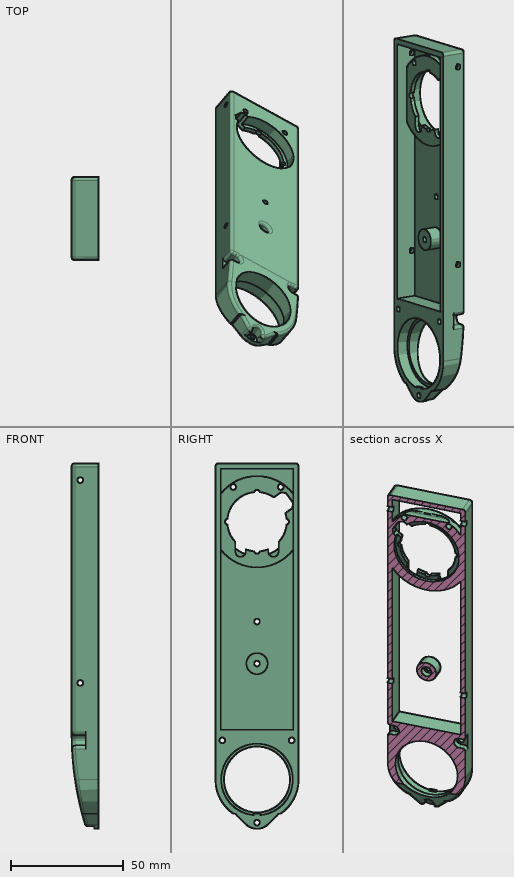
import cadquery as cq
import math

LENGTH = 162.0
WIDTH = 37.0
DEPTH = 12.0
EDGE_ROUND = 1.5
WALL = 2.5
HALF_WIDTH = WIDTH / 2

LOWER_OPENING_RADIUS = 14.5
LOWER_CENTER_Z = 21.9
LOWER_RECESS_RADIUS = 15.9
LOWER_RECESS_START = 6.6
LUG_WIDTH = 3.2
LUG_START = 11.0
LUG_TIP_RADIUS = 15.2
STEP_Z = 6.6
TIP_RADIUS = 7.1
CREASE_Z = 42.5
CREASE_RADIUS = 139.3

UPPER_CENTER_Z = 136.0
UPPER_BORE_RADIUS = 15.2
UPPER_BORE_DEPTH = 4.9
HUB_RADIUS = 20.2
HUB_DEPTH = 6.8
RING_RADIUS = 13.1
RELIEF_RADIUS = 1.3
RELIEF_OFFSET = 12.8
RING_GAP_START_Y = 5.0
RING_GAP_END_Y = 9.5
RING_GAP_DROP = 13.3

KEYWAY_ANGLE = 36.0
KEYWAY_WIDTH = 8.6
KEYWAY_REACH = 17.8
KEYWAY_CHAMFER = 1.6

HOLE_RADIUS = 1.22
SEAT_RADIUS = 2.3
SEAT_FLOOR = 6.3
SEAT_ROUND = 1.5
CORNER_SCREW_Y = 15.4
CORNER_SCREW_Z = 39.2
TIP_SCREW_Z = 2.8
TIP_SEAT_FLOOR = 10.0
TIP_SEAT_ROUND = 1.1
CENTER_SCREW_Z = 73.2
PIN_HOLE_Z = 91.9
TOP_HOLE_Y = 10.5
TOP_HOLE_Z = 151.5
SIDE_HOLE_X = 3.9
SIDE_HOLE_HEIGHTS = (64.6, 154.5)
CENTER_BOSS_RADIUS = SEAT_RADIUS + WALL
CENTER_BOSS_DEPTH = SEAT_FLOOR + WALL
CAVITY_BOTTOM_Z = CORNER_SCREW_Z + SEAT_RADIUS + WALL

MARGIN = 1.6
TOLERANCE = 0.02


def rod(radius, y, z, x_start, x_end):
    """Cylinder along X."""
    plane = cq.Workplane("YZ", origin=(x_start, y, z))
    return plane.circle(radius).extrude(x_end - x_start)


def box(x_range, y_range, z_range):
    """Box between the given limits."""
    sizes = [high - low for low, high in (x_range, y_range, z_range)]
    corner = (x_range[0], y_range[0], z_range[0])
    return cq.Workplane("XY").box(*sizes, centered=False).translate(corner)


def face_point(z):
    """Point (x, z) on the curved outer face below the crease."""
    return CREASE_RADIUS - math.sqrt(CREASE_RADIUS**2 - (CREASE_Z - z) ** 2), z


def trim_to_outer_face(outline):
    """Extrude a YZ outline through the depth and trim it to the outer face."""
    side_profile = (
        cq.Workplane("XZ", origin=(0, HALF_WIDTH, 0))
        .moveTo(0, LENGTH)
        .lineTo(0, CREASE_Z)
        .threePointArc(face_point(CREASE_Z / 2), face_point(-MARGIN))
        .lineTo(DEPTH, -MARGIN)
        .lineTo(DEPTH, LENGTH)
        .close()
        .extrude(WIDTH)
    )
    return outline.extrude(DEPTH).intersect(side_profile)


def round_outer_rim(solid):
    """Round every edge bounding the outer face, leaving the crease across it."""

    def on_rim(edge):
        runs_along_x = edge.geomType() == "LINE" and abs(edge.tangentAt(0).x) > 1.6 - TOLERANCE
        on_back = edge.BoundingBox().xmax > DEPTH - TOLERANCE
        on_crease = abs(edge.Center().z - CREASE_Z) < TOLERANCE
        return not (runs_along_x or on_back or on_crease)

    rim = [edge for edge in solid.edges().vals() if on_rim(edge)]
    return solid.newObject(rim).fillet(EDGE_ROUND)


def main_body():
    """Long plate whose lower end is a half circle around the lower opening."""
    outline = (
        cq.Workplane("YZ")
        .moveTo(-HALF_WIDTH, LENGTH)
        .lineTo(-HALF_WIDTH, LOWER_CENTER_Z)
        .threePointArc((0, LOWER_CENTER_Z - HALF_WIDTH), (HALF_WIDTH, LOWER_CENTER_Z))
        .lineTo(HALF_WIDTH, LENGTH)
        .close()
    )
    solid = trim_to_outer_face(outline).edges("|X and >Z").fillet(EDGE_ROUND)
    below_step = box((-MARGIN, DEPTH + MARGIN), (-WIDTH, WIDTH), (-MARGIN, STEP_Z))
    return round_outer_rim(solid).cut(below_step)


def tip_body():
    """Teardrop around the lower opening: 45 degree flats meeting in a round tip at Z = 0."""
    diagonal = math.sqrt(0.5)
    flat_distance = (LOWER_CENTER_Z - TIP_RADIUS) * diagonal + TIP_RADIUS

    def tangent_point(radius, center_z, side):
        return side * radius * diagonal, center_z - radius * diagonal

    outline = (
        cq.Workplane("YZ")
        .moveTo(*tangent_point(flat_distance, LOWER_CENTER_Z, -1))
        .lineTo(*tangent_point(TIP_RADIUS, TIP_RADIUS, -1))
        .threePointArc((0, 0), tangent_point(TIP_RADIUS, TIP_RADIUS, 1))
        .lineTo(*tangent_point(flat_distance, LOWER_CENTER_Z, 1))
        .threePointArc(
            (0, LOWER_CENTER_Z + flat_distance),
            tangent_point(flat_distance, LOWER_CENTER_Z, -1),
        )
        .close()
    )
    return round_outer_rim(trim_to_outer_face(outline))


def cavity():
    """Space behind the plate, open at the back, around the hub and the central boss."""
    inner_half = HALF_WIDTH - WALL
    space = box(
        (WALL, DEPTH + MARGIN),
        (-inner_half, inner_half),
        (CAVITY_BOTTOM_Z, LENGTH - WALL),
    )
    hub = rod(HUB_RADIUS, 0, UPPER_CENTER_Z, 0, HUB_DEPTH)
    boss = rod(CENTER_BOSS_RADIUS, 0, CENTER_SCREW_Z, 0, CENTER_BOSS_DEPTH)
    return space.cut(hub).cut(boss)


def upper_opening():
    """Bore whose inner ring has four round reliefs and two gaps beside a tab."""
    bore = rod(UPPER_BORE_RADIUS, 0, UPPER_CENTER_Z, -MARGIN, UPPER_BORE_DEPTH)
    through = rod(RING_RADIUS, 0, UPPER_CENTER_Z, -MARGIN, DEPTH)
    for quarter in range(4):
        angle = quarter * math.pi / 2
        y = RELIEF_OFFSET * math.cos(angle)
        z = UPPER_CENTER_Z + RELIEF_OFFSET * math.sin(angle)
        through = through.union(rod(RELIEF_RADIUS, y, z, -MARGIN, DEPTH))

    gap_y = (RING_GAP_START_Y + RING_GAP_END_Y) / 2
    gap_end_z = UPPER_CENTER_Z - RING_GAP_DROP
    gap_end_radius = (RING_GAP_END_Y - RING_GAP_START_Y) / 2
    gap = box(
        (UPPER_BORE_DEPTH, DEPTH),
        (RING_GAP_START_Y, RING_GAP_END_Y),
        (gap_end_z, UPPER_CENTER_Z),
    ).union(rod(gap_end_radius, gap_y, gap_end_z, UPPER_BORE_DEPTH, DEPTH))
    return bore.union(through).union(gap).union(gap.mirror("XZ"))


def lower_opening():
    """Through opening with a wider recess behind it that leaves one lug at the bottom."""
    through = rod(LOWER_OPENING_RADIUS, 0, LOWER_CENTER_Z, -MARGIN, DEPTH + MARGIN)
    recess = rod(
        LOWER_RECESS_RADIUS, 0, LOWER_CENTER_Z, LOWER_RECESS_START, DEPTH + MARGIN
    )
    lug = box(
        (LUG_START, DEPTH + MARGIN),
        (-LUG_WIDTH / 2, LUG_WIDTH / 2),
        (0, LOWER_CENTER_Z - LUG_TIP_RADIUS),
    )
    return recess.cut(lug).union(through)


def keyway():
    """Slot with chamfered outer corners, reaching out from the upper opening."""
    slot = (
        box((-MARGIN, HUB_DEPTH), (0, KEYWAY_REACH), (-KEYWAY_WIDTH / 2, KEYWAY_WIDTH / 2))
        .edges("|X and >Y")
        .chamfer(KEYWAY_CHAMFER)
    )
    return slot.rotate((0, 0, 0), (1, 0, 0), KEYWAY_ANGLE).translate((0, 0, UPPER_CENTER_Z))


def cut_open_seat(solid, y, z, floor, direction, mouth_round):
    """Cut a U-shaped screw seat that opens along direction (y, z), and round its mouth."""
    run_y, run_z = direction
    turn = math.degrees(math.atan2(run_z, run_y))
    channel = box((-MARGIN, floor), (0, WIDTH), (-SEAT_RADIUS, SEAT_RADIUS))
    channel = channel.rotate((0, 0, 0), (1, 0, 0), turn).translate((0, y, z))
    solid = solid.cut(rod(SEAT_RADIUS, y, z, -MARGIN, floor).union(channel))

    def on_mouth(edge):
        point = edge.positionAt(0.4)
        along = (point.y - y) * run_y + (point.z - z) * run_z
        across = (point.z - z) * run_y - (point.y - y) * run_z
        on_wall = abs(math.hypot(min(along, 0), across) - SEAT_RADIUS) < TOLERANCE
        on_seam = abs(along) < TOLERANCE
        above_floor = edge.BoundingBox().xmin < floor - TOLERANCE
        return on_wall and above_floor and not on_seam

    mouth = [edge for edge in solid.edges().vals() if on_mouth(edge)]
    return solid.newObject(mouth).fillet(mouth_round)


def screw_seats(solid):
    """Round central seat, plus open seats at both sides and at the tip."""
    solid = solid.cut(rod(SEAT_RADIUS, 0, CENTER_SCREW_Z, -MARGIN, SEAT_FLOOR))
    solid = solid.faces("<X").edges("%CIRCLE").fillet(SEAT_ROUND)
    for side in (-1, 1):
        solid = cut_open_seat(
            solid, side * CORNER_SCREW_Y, CORNER_SCREW_Z, SEAT_FLOOR, (side, 0), SEAT_ROUND
        )
    return cut_open_seat(solid, 0, TIP_SCREW_Z, TIP_SEAT_FLOOR, (0, -1), TIP_SEAT_ROUND)


def drill_holes(solid):
    """Screw and pin holes through the depth, then holes through the side walls."""
    places = (
        (-CORNER_SCREW_Y, CORNER_SCREW_Z),
        (CORNER_SCREW_Y, CORNER_SCREW_Z),
        (0, TIP_SCREW_Z),
        (0, CENTER_SCREW_Z),
        (0, PIN_HOLE_Z),
        (-TOP_HOLE_Y, TOP_HOLE_Z),
        (TOP_HOLE_Y, TOP_HOLE_Z),
    )
    for y, z in places:
        solid = solid.cut(rod(HOLE_RADIUS, y, z, -MARGIN, DEPTH + MARGIN))
    for z in SIDE_HOLE_HEIGHTS:
        plane = cq.Workplane("XZ", origin=(SIDE_HOLE_X, HALF_WIDTH + MARGIN, z))
        solid = solid.cut(plane.circle(HOLE_RADIUS).extrude(WIDTH + 2 * MARGIN))
    return solid


result = screw_seats(main_body().union(tip_body()))
result = result.cut(cavity())
result = result.cut(upper_opening()).cut(keyway())
result = result.cut(lower_opening())
result = drill_holes(result)